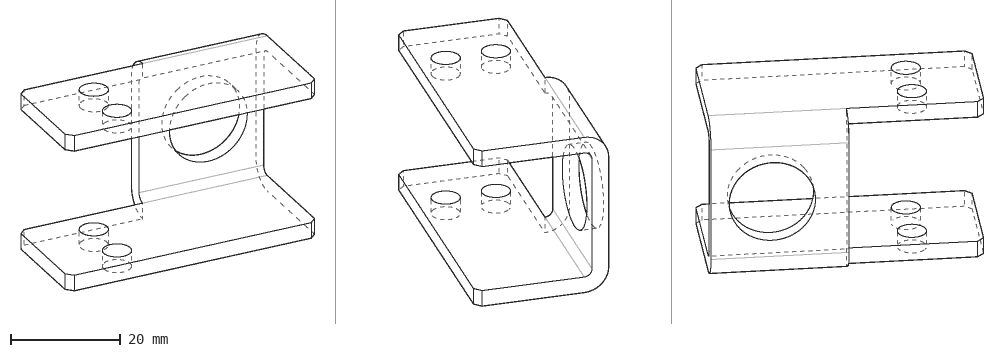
import cadquery as cq

width = 25.4
length = 50.8
height = 31.75

thickness = 3.2
outer_bend_radius = 4.65
inner_bend_radius = outer_bend_radius - thickness

web_length = length / 2
corner_chamfer = 1.25

web_hole_diameter = 15.85
web_hole_from_rear = 11.3

flange_hole_diameter = 5.35
flange_hole_spacing = 9.55
first_flange_hole_x = 10.25
flange_hole_y = 12.7


def channel():
    """Bent C section, open towards +X, along the rear half."""
    outer = (
        cq.Workplane("XY")
        .box(width, web_length, height, centered=False)
        .edges("|Y and <X")
        .fillet(outer_bend_radius)
    )
    inner = (
        cq.Workplane("XY")
        .box(width, web_length, height - 2 * thickness, centered=False)
        .edges("|Y and <X")
        .fillet(inner_bend_radius)
        .translate((thickness, 0, thickness))
    )
    return outer.cut(inner).translate((0, length - web_length, 0))


def flange(bottom_z):
    """Flat plate starting at the bend line, with three chamfered corners."""
    plate = cq.Workplane("XY").box(
        width - outer_bend_radius, length, thickness, centered=False
    )
    plate = plate.edges("|Z and (>X or <Y)").chamfer(corner_chamfer)
    return plate.translate((outer_bend_radius, 0, bottom_z))


def free_corner_trim():
    """Removes the channel's rear corners so the flange chamfers stay open."""
    return (
        cq.Workplane("XY")
        .moveTo(width, length)
        .lineTo(width - corner_chamfer, length)
        .lineTo(width, length - corner_chamfer)
        .close()
        .extrude(height)
    )


def web_hole():
    return (
        cq.Workplane("YZ")
        .center(length - web_hole_from_rear, height / 2)
        .circle(web_hole_diameter / 2)
        .extrude(thickness)
    )


def flange_holes():
    second_flange_hole_x = first_flange_hole_x + flange_hole_spacing
    return (
        cq.Workplane("XY")
        .pushPoints([(x, flange_hole_y) for x in (first_flange_hole_x, second_flange_hole_x)])
        .circle(flange_hole_diameter / 2)
        .extrude(height)
    )


bracket = channel().cut(free_corner_trim())
for flange_bottom in (0, height - thickness):
    bracket = bracket.union(flange(flange_bottom))

result = bracket.cut(web_hole()).cut(flange_holes()).clean()